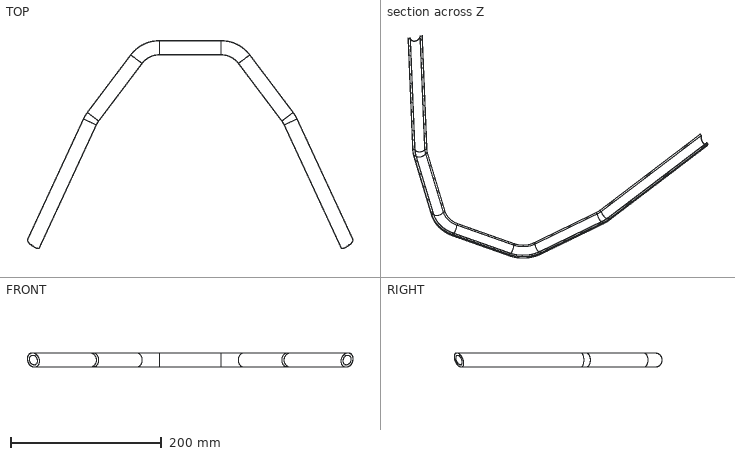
import cadquery as cq
import math

tube_diameter = 19.05
bore_diameter = 12.7

crown_length = 82.1
bend_radius = 38.1
upper_leg_length = 95.74
lower_leg_length = 178.32

upper_leg_slope = 53.0
lower_leg_slope = 65.13

foot_cut_outward_turn = 10.0
foot_cut_downward_tilt = 18.4

foot_allowance = tube_diameter
cutter_size = 4 * tube_diameter

up = cq.Vector(0, 0, 1)


def heading(slope):
    """Unit vector in the XY plane that points down from +X by the slope angle."""
    angle = math.radians(slope)
    return cq.Vector(math.cos(angle), -math.sin(angle), 0)


def inward(slope):
    """Unit vector to the inner side of the hoop, square to the heading."""
    return heading(slope + 90)


def tube_section(start, slope):
    """Tube ring at a centreline point, with local X towards the inner side of the hoop."""
    plane = cq.Plane(start, xDir=inward(slope), normal=heading(slope))
    return cq.Workplane(plane).circle(tube_diameter / 2).circle(bore_diameter / 2)


def straight_tube(start, slope, length):
    return tube_section(start, slope).extrude(length)


def bent_tube(start, slope_in, slope_out):
    """Tube bent about an upright axis on the inner side of the hoop."""
    section = tube_section(start, slope_in)
    return section.revolve(slope_out - slope_in, (bend_radius, 0, 0), (bend_radius, 1, 0))


def bend_end(start, slope_in, slope_out):
    bend_centre = start + inward(slope_in) * bend_radius
    return bend_centre - inward(slope_out) * bend_radius


def trim_foot(leg, foot_point):
    """Cut the leg with the slanted plane through the foot point on its centreline."""
    tilt = math.radians(foot_cut_downward_tilt)
    level_direction = heading(lower_leg_slope - foot_cut_outward_turn)
    cut_normal = level_direction * math.cos(tilt) - up * math.sin(tilt)
    cut_plane = cq.Plane(foot_point, xDir=level_direction.cross(up), normal=cut_normal)
    cutter = cq.Workplane(cut_plane).rect(cutter_size, cutter_size).extrude(cutter_size)
    return leg.cut(cutter)


crown_end = cq.Vector(crown_length / 2, 0, 0)
upper_leg_start = bend_end(crown_end, 0, upper_leg_slope)
upper_leg_end = upper_leg_start + heading(upper_leg_slope) * upper_leg_length
lower_leg_start = bend_end(upper_leg_end, upper_leg_slope, lower_leg_slope)
foot = lower_leg_start + heading(lower_leg_slope) * lower_leg_length

crown = straight_tube(-crown_end, 0, crown_length)

crown_bend = bent_tube(crown_end, 0, upper_leg_slope)
upper_leg = straight_tube(upper_leg_start, upper_leg_slope, upper_leg_length)
leg_bend = bent_tube(upper_leg_end, upper_leg_slope, lower_leg_slope)
uncut_leg = straight_tube(lower_leg_start, lower_leg_slope, lower_leg_length + foot_allowance)
lower_leg = trim_foot(uncut_leg, foot)

bodies = [crown.val()]
for body in (crown_bend, upper_leg, leg_bend, lower_leg):
    bodies.append(body.val())
    bodies.append(body.mirror("YZ").val())

result = cq.Compound.makeCompound(bodies)